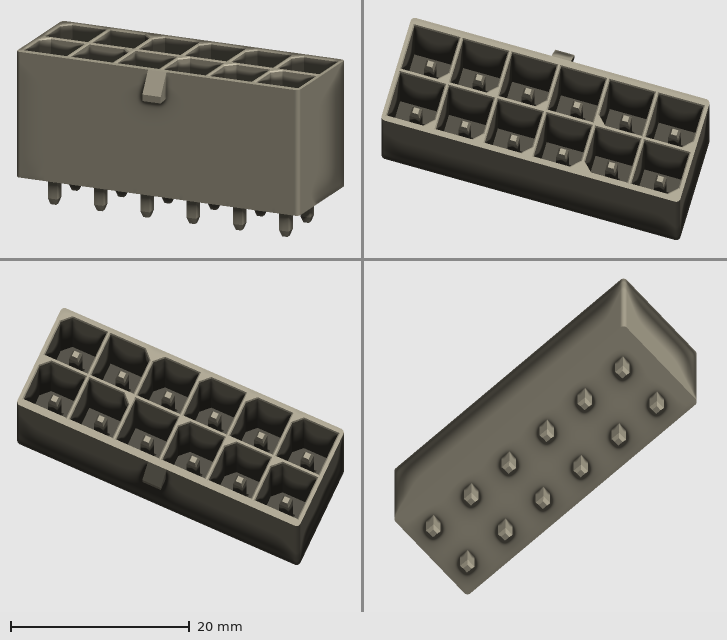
import cadquery as cq
import math


length = 34.85
width = 12.5
height = 14.78
corner_radius = 0.5

columns = 6
rows = 2
end_column_spacing = 28.5
pitch = end_column_spacing / (columns - 1)
grid_offset_y = 0.1

mouth_size = 5.5
mouth_chamfer = 0.15
pocket_size = mouth_size - 2 * mouth_chamfer
pocket_depth = 11.15
mouth_key_leg = 1.08
pocket_key_leg = mouth_key_leg - mouth_chamfer * (2 - math.sqrt(2))
floor_z = height - pocket_depth
row_keys = {
    0: ("left", "right", None, "left", "left", "left"),
    1: ("left", "right", "left", "left", "left", "left"),
}

pin_size = 1.15
pin_tip_size = 0.65
pin_taper = 0.73
pin_bottom_z = -3.73
pin_height_in_pocket = 6.97
pin_top_z = floor_z + pin_height_in_pocket
countersink_size = 1.57
countersink_depth = (countersink_size - pin_size) / 2

latch_width = 2.25
latch_reach = 1.55
latch_nose_top = 2.47
latch_nose_bottom = 3.25
latch_root_bottom = 3.05


def contact_position(column, row):
    x = (column - (columns - 1) / 2) * pitch
    y = (row - (rows - 1) / 2) * pitch + grid_offset_y
    return x, y


def square_frustum(x, y, start_z, start_size, end_z, end_size):
    return (
        cq.Workplane("XY", origin=(x, y, start_z))
        .rect(start_size, start_size)
        .workplane(offset=end_z - start_z)
        .rect(end_size, end_size)
        .loft(ruled=True)
    )


def pocket_outline(plane, size, key, key_leg):
    """Square of the given size, with its +Y corner on the keyed side cut off."""
    half = size / 2
    corners = [
        (-half, -half),
        (half, -half),
    ]
    if key == "right":
        corners += [(half, half - key_leg), (half - key_leg, half)]
    else:
        corners += [(half, half)]
    if key == "left":
        corners += [(key_leg - half, half), (-half, half - key_leg)]
    else:
        corners += [(-half, half)]
    return plane.polyline(corners).close()


def make_pocket(x, y, key):
    """Pocket with an even chamfer all round its mouth."""
    floor = cq.Workplane("XY", origin=(x, y, floor_z))
    bore = pocket_outline(floor, pocket_size, key, pocket_key_leg).extrude(pocket_depth)
    chamfer_base = cq.Workplane("XY", origin=(x, y, height - mouth_chamfer))
    inner_edge = pocket_outline(chamfer_base, pocket_size, key, pocket_key_leg)
    rim = inner_edge.workplane(offset=mouth_chamfer)
    mouth = pocket_outline(rim, mouth_size, key, mouth_key_leg).loft(ruled=True)
    return bore.union(mouth)


def make_pin(x, y):
    """Square pin through the floor, tapered at both ends."""
    shank_bottom = pin_bottom_z + pin_taper
    shank_top = pin_top_z - pin_taper
    shank = square_frustum(x, y, shank_bottom, pin_size, shank_top, pin_size)
    lower_tip = square_frustum(x, y, pin_bottom_z, pin_tip_size, shank_bottom, pin_size)
    upper_tip = square_frustum(x, y, shank_top, pin_size, pin_top_z, pin_tip_size)
    return shank.union(lower_tip).union(upper_tip)


def make_latch():
    """Ramp flush with the housing top, ending in a blunt nose with an undercut below."""
    wall_y = -width / 2
    nose_y = wall_y - latch_reach
    inside_y = wall_y + corner_radius
    profile = [
        (inside_y, height),
        (wall_y, height),
        (nose_y, height - latch_nose_top),
        (nose_y, height - latch_nose_bottom),
        (wall_y, height - latch_root_bottom),
        (inside_y, height - latch_root_bottom),
    ]
    return cq.Workplane("YZ").polyline(profile).close().extrude(latch_width / 2, both=True)


housing = cq.Workplane("XY").box(length, width, height, centered=(True, True, False))
result = housing.edges("|Z").fillet(corner_radius).union(make_latch())

for row, keys in row_keys.items():
    for column, key in enumerate(keys):
        x, y = contact_position(column, row)
        countersink = square_frustum(x, y, floor_z - countersink_depth, pin_size, floor_z, countersink_size)
        result = result.cut(make_pocket(x, y, key)).cut(countersink).union(make_pin(x, y))